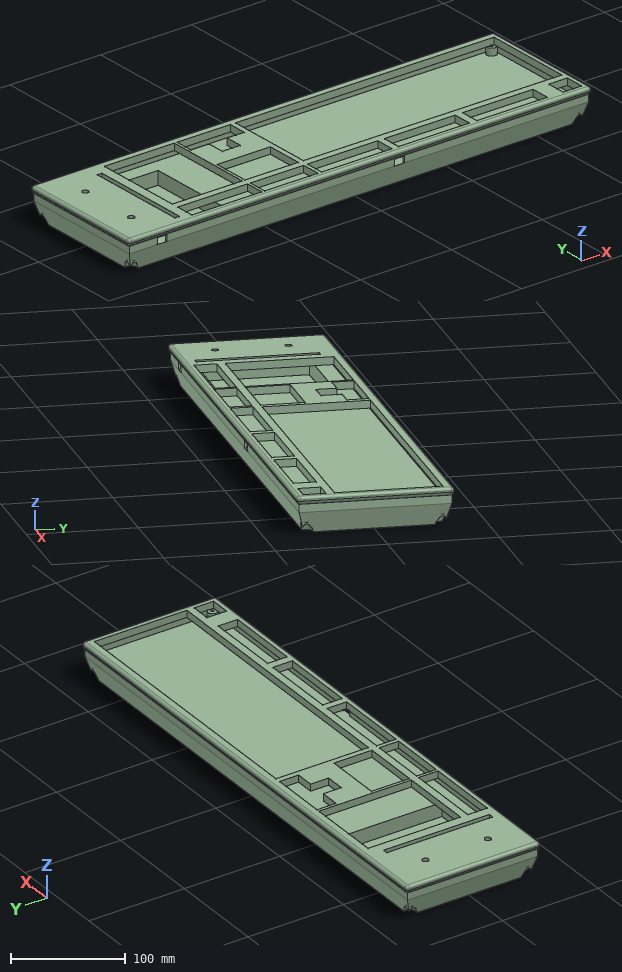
import cadquery as cq
length = 510.0
width = 141.0
height = 34.5

lid_thickness = 7.0
lid_corner_radius = 3.0
lid_top_round = 2.8
underside_bevel_height = 3.0
underside_bevel_inset = 1.5
lid_bottom = height - lid_thickness

band_inset = 2.0
band_bottom = 20.0
taper_angle = 15.7
band_length = length - 2 * band_inset
band_width = width - 2 * band_inset

cavity_inset = 4.0
cavity_corner_radius = 2.5
cavity_floor = band_bottom
cavity_depth = lid_bottom - cavity_floor
wall_thickness = cavity_inset - band_inset

pocket_left = -229.5
pocket_right = -129.5
pocket_half_width = 50.5
pocket_depth = 14.5

screw_x = 245.5
screw_y = 60.5
post_diameter = 10.0
post_hole_diameter = 2.8
recess_height = 9.5
recess_diameter = 13.5

opening_width = 10.5
opening_top_gap = 1.0
opening_centers = (-217.0, 44.5)

upper_front = -35.5
upper_back = 61.0
lower_front = -64.0
lower_back = -43.5
window_right_end = 248.5
wide_window = (-180.5, -103.5)
middle_window = (-100.5, -42.0)
main_window_left = -36.0
middle_window_back = 4.0
tee_bar_front = 41.5
tee_stem_front = 22.5
tee_stem = (-80.5, -60.5)
lower_windows = (
    wide_window,
    middle_window,
    (-37.5, 40.0),
    (47.0, 125.0),
    (133.0, 210.5),
    (228.0, window_right_end),
)

slot = (-196.0, -190.5)
slot_front = -59.0
slot_back = 51.5
knob_hole_diameter = 6.0
knob_hole_x = -225.0
knob_hole_ys = (30.5, -34.5)


def block(x_range, y_range, z_range):
    """Box spanning the three given ranges."""
    return cq.Workplane("XY").box(
        x_range[1] - x_range[0],
        y_range[1] - y_range[0],
        z_range[1] - z_range[0],
        centered=False,
    ).translate((x_range[0], y_range[0], z_range[0]))


def centered_slab(size_x, size_y, z_bottom, thickness):
    """Rectangular slab centered on the Z axis."""
    return cq.Workplane("XY").workplane(offset=z_bottom).rect(size_x, size_y).extrude(thickness)


def window(x_range, y_front, y_back):
    """Cutter for a rectangular opening through the lid."""
    return block(x_range, (y_front, y_back), (lid_bottom, height))


def make_lid():
    lid = (
        centered_slab(length, width, lid_bottom, lid_thickness)
        .edges("|Z")
        .fillet(lid_corner_radius)
        .faces("<Z")
        .chamfer(underside_bevel_height, underside_bevel_inset)
        .faces(">Z")
        .edges()
        .fillet(lid_top_round)
    )

    lid = lid.cut(window(wide_window, upper_front, upper_back))
    lid = lid.cut(window(middle_window, upper_front, middle_window_back))
    lid = lid.cut(window((main_window_left, window_right_end), upper_front, upper_back))

    lid = lid.cut(window(middle_window, tee_bar_front, upper_back))
    lid = lid.cut(window(tee_stem, tee_stem_front, tee_bar_front))

    for x_range in lower_windows:
        lid = lid.cut(window(x_range, lower_front, lower_back))

    lid = lid.cut(window(slot, slot_front, slot_back))
    knob_holes = (
        cq.Workplane("XY")
        .workplane(offset=lid_bottom)
        .pushPoints([(knob_hole_x, y) for y in knob_hole_ys])
        .circle(knob_hole_diameter / 2)
        .extrude(lid_thickness)
    )
    return lid.cut(knob_holes)


def make_base():
    band = centered_slab(band_length, band_width, band_bottom, lid_bottom - band_bottom)
    taper = (
        cq.Workplane("XY")
        .workplane(offset=band_bottom)
        .rect(band_length, band_width)
        .extrude(-band_bottom, taper=taper_angle)
    )
    base = band.union(taper)

    cavity = (
        centered_slab(length - 2 * cavity_inset, width - 2 * cavity_inset, cavity_floor, cavity_depth)
        .edges("|Z")
        .fillet(cavity_corner_radius)
    )
    base = base.cut(cavity)
    base = base.cut(
        block(
            (pocket_left, pocket_right),
            (-pocket_half_width, pocket_half_width),
            (cavity_floor - pocket_depth, cavity_floor),
        )
    )

    screw_points = [(sx * screw_x, sy * screw_y) for sx in (-1, 1) for sy in (-1, 1)]
    posts = (
        cq.Workplane("XY")
        .workplane(offset=cavity_floor)
        .pushPoints(screw_points)
        .circle(post_diameter / 2)
        .extrude(cavity_depth)
    )
    base = base.union(posts)
    post_holes = (
        cq.Workplane("XY")
        .workplane(offset=cavity_floor)
        .pushPoints(screw_points)
        .circle(post_hole_diameter / 2)
        .extrude(cavity_depth)
    )
    base = base.cut(post_holes)

    recess = (
        cq.Workplane("XY")
        .circle(recess_diameter / 2)
        .extrude(recess_height, taper=taper_angle)
    )
    for x, y in screw_points:
        base = base.cut(recess.translate((x, y, 0)))

    for x in opening_centers:
        base = base.cut(
            block(
                (x - opening_width / 2, x + opening_width / 2),
                (-band_width / 2, -band_width / 2 + wall_thickness),
                (band_bottom, lid_bottom - opening_top_gap),
            )
        )
    return base


lid = make_lid()
base = make_base()

result = cq.Compound.makeCompound([lid.val(), base.val()])